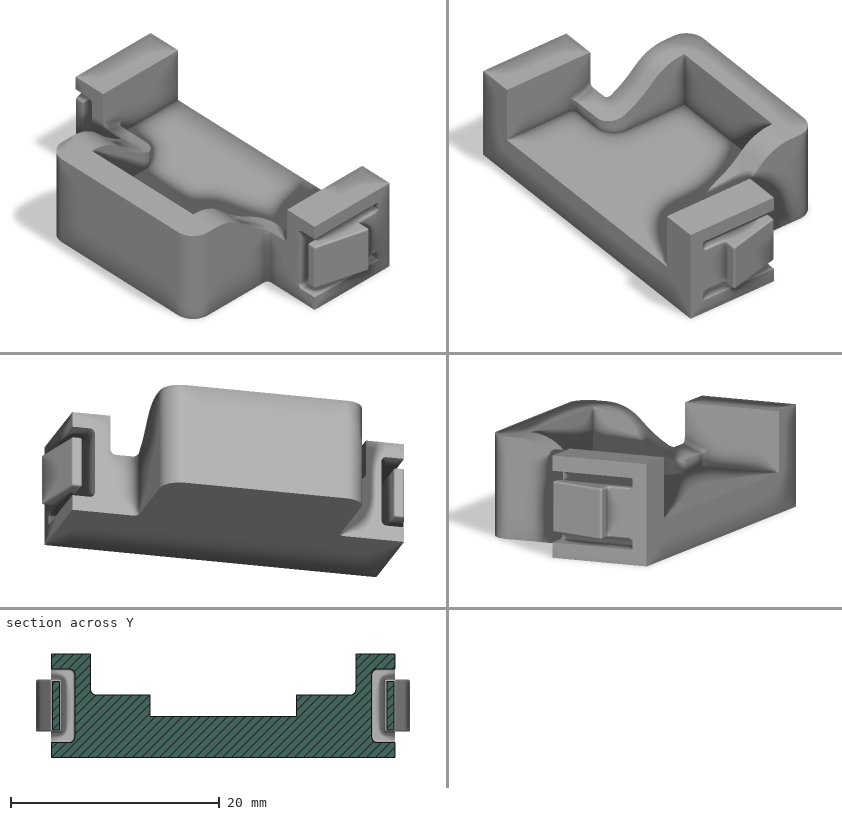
import cadquery as cq
import math

height = 10.0
arm_half_width = 16.5
arm_depth = 10.0
nose_half_width = 10.0
nose_depth = 10.0
nose_corner_radius = 2.0
small_radius = 0.5

floor_z = 4.0
nose_wall = 3.0
arm_wall = 2.0
post_width = 3.8
recess_corner_radius = 2.0
recess_half_width = arm_half_width - post_width

crest_y = -6.9
crest_radius = 5.0
inflection_y = -3.3
valley_radius = 12.0

pocket_depth = 2.25
pocket_length = 8.5
pocket_height = 7.0
tongue_thickness = 1.0
tongue_height = 5.0
catch_length = 5.9
catch_rise = 1.5
edge_radius = 0.2
root_length = 0.25


def make_block():
    """Solid T-shaped body with rounded nose corners."""
    arms = cq.Workplane("XY").box(2 * arm_half_width, arm_depth, height, centered=(True, False, False))
    nose = (
        cq.Workplane("XY")
        .box(2 * nose_half_width, nose_depth + arm_wall, height, centered=(True, False, False))
        .translate((0, -nose_depth, 0))
        .edges("|Z and <Y")
        .fillet(nose_corner_radius)
    )
    inner_corners = cq.selectors.BoxSelector(
        (-nose_half_width - small_radius, -small_radius, 0),
        (nose_half_width + small_radius, small_radius, height),
    )
    return arms.union(nose).edges("|Z").edges(inner_corners).fillet(small_radius)


def make_recess():
    """T-shaped recess above the floor."""
    nose_inner = nose_half_width - nose_wall
    right_half = (
        cq.Workplane("XY", origin=(0, 0, floor_z))
        .moveTo(0, nose_wall - nose_depth)
        .lineTo(nose_inner, nose_wall - nose_depth)
        .lineTo(nose_inner, arm_wall - recess_corner_radius)
        .radiusArc((nose_inner + recess_corner_radius, arm_wall), recess_corner_radius)
        .lineTo(recess_half_width - small_radius, arm_wall)
        .radiusArc((recess_half_width, arm_wall + small_radius), -small_radius)
        .lineTo(recess_half_width, arm_depth)
        .lineTo(0, arm_depth)
        .close()
        .extrude(height - floor_z)
    )
    return right_half.union(right_half.mirror("YZ"))


def make_rim_clearance():
    """Space between the posts and above the S-shaped rim."""
    crest_center_z = height - crest_radius

    def arc_point(center_y, center_z, radius, angle):
        return center_y + radius * math.sin(angle), center_z + radius * math.cos(angle)

    turn = math.asin((inflection_y - crest_y) / crest_radius)
    inflection = arc_point(crest_y, crest_center_z, crest_radius, turn)
    crest_middle = arc_point(crest_y, crest_center_z, crest_radius, turn / 2)
    valley_center = arc_point(crest_y, crest_center_z, crest_radius + valley_radius, turn)
    end_angle = math.asin((valley_center[0] - arm_wall - small_radius) / valley_radius)
    valley_middle = arc_point(*valley_center, -valley_radius, (turn + end_angle) / 2)
    valley_end = arc_point(*valley_center, -valley_radius, end_angle)

    clearance = (
        cq.Workplane("YZ", origin=(-recess_half_width, 0, 0))
        .moveTo(crest_y, height)
        .threePointArc(crest_middle, inflection)
        .threePointArc(valley_middle, valley_end)
        .lineTo(valley_end[0], height)
        .close()
        .extrude(2 * recess_half_width)
    )
    return clearance.faces("<X or >X").edges("<Z").fillet(small_radius)


def make_left_pocket():
    """Pocket behind and around the tongue of the left post."""
    return (
        cq.Workplane("XY")
        .box(pocket_depth, pocket_length, pocket_height, centered=(False, False, True))
        .translate((-arm_half_width, 0, height / 2))
        .edges("|Y and >X")
        .fillet(small_radius)
    )


def make_left_tongue():
    """Tongue of the left post with its ramped catch; every edge is rounded except at the root."""
    outer_x = -arm_half_width
    inner_x = outer_x + tongue_thickness
    free_edges = cq.selectors.BoxSelector(
        (outer_x - 2 * catch_rise, -edge_radius, 0),
        (inner_x + edge_radius, pocket_length - edge_radius, height),
    )
    return (
        cq.Workplane("XY", origin=(0, 0, (height - tongue_height) / 2))
        .moveTo(inner_x, 0)
        .lineTo(outer_x, 0)
        .lineTo(outer_x - catch_rise, catch_length)
        .lineTo(outer_x, catch_length)
        .lineTo(outer_x, pocket_length)
        .lineTo(inner_x, pocket_length)
        .close()
        .extrude(tongue_height)
        .edges(free_edges)
        .fillet(edge_radius)
    )


def make_left_root():
    """Short root of the tongue, with sharp outer edges flush with the post face."""
    return (
        cq.Workplane("XY")
        .box(tongue_thickness, root_length, tongue_height, centered=(False, False, True))
        .translate((-arm_half_width, pocket_length - root_length, height / 2))
        .edges("|Y and >X")
        .fillet(edge_radius)
    )


def add_left_snap(body):
    """Cut the pocket, add the tongue and round the closed end of the pocket."""
    end_edges = cq.selectors.BoxSelector(
        (-arm_half_width + edge_radius / 2, pocket_length - edge_radius / 2, 0),
        (-recess_half_width, pocket_length + edge_radius / 2, height),
    )
    with_tongue = body.cut(make_left_pocket()).union(make_left_tongue()).union(make_left_root())
    return with_tongue.edges(end_edges).fillet(edge_radius)


def mirror_left_half(body):
    """Keep everything at x < 0 and mirror it to the right side."""
    half_width = arm_half_width + catch_rise
    left_space = cq.Workplane("XY").box(
        half_width, nose_depth + arm_depth, height, centered=(False, False, False)
    ).translate((-half_width, -nose_depth, 0))
    left_half = body.intersect(left_space)
    return left_half.union(left_half.mirror("YZ"))


housing = make_block().cut(make_recess()).cut(make_rim_clearance())
result = mirror_left_half(add_left_snap(housing))